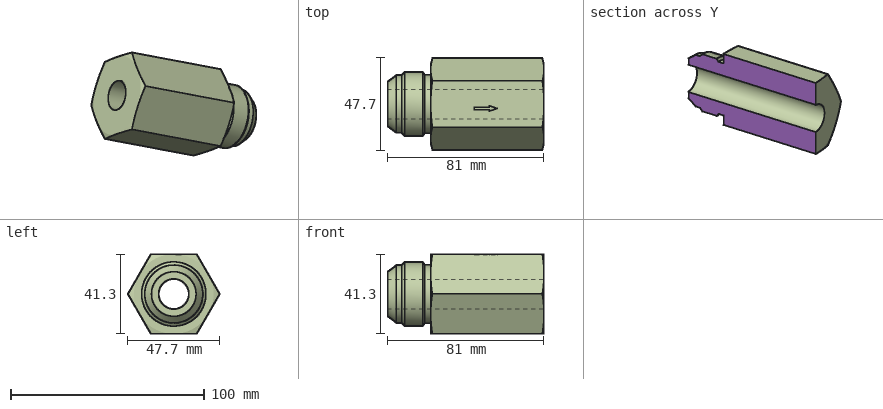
import cadquery as cq
import math

total_length = 80.98
hex_start = 22.35
hex_across_flats = 41.275
hex_across_corners = hex_across_flats / math.cos(math.radians(30))
hex_chamfer_angle = 15.0

nose_half_angle = 37.0
nose_face_diameter = 23.1
neck_diameter = 30.05
collar_diameter = 33.33
collar_lead_start = 7.25
collar_relief_start = 18.15
collar_relief_length = 1.0
undercut_diameter = 30.4

bore_diameter = 15.47

arrow_start = 45.0
arrow_shoulder = 52.7
arrow_tip = 56.7
arrow_center_y = -2.3
arrow_shaft_width = 1.35
arrow_head_width = 2.8
arrow_depth = 0.2


def revolve_about_axis(points):
    """Revolve a closed (axial, radial) outline about the X axis."""
    return cq.Workplane("XY").polyline(points).close().revolve(360, (0, 0, 0), (1, 0, 0))


def make_hex_body():
    """Hexagonal bar with flats at top and bottom and both ends turned conical."""
    length = total_length - hex_start
    bar = (
        cq.Workplane("YZ")
        .workplane(offset=hex_start)
        .polygon(6, hex_across_corners)
        .extrude(length)
    )
    flat_radius = hex_across_flats / 2
    corner_radius = hex_across_corners / 2
    chamfer_length = (corner_radius - flat_radius) * math.tan(math.radians(hex_chamfer_angle))
    turned_envelope = revolve_about_axis([
        (hex_start, 0),
        (hex_start, flat_radius),
        (hex_start + chamfer_length, corner_radius),
        (total_length - chamfer_length, corner_radius),
        (total_length, flat_radius),
        (total_length, 0),
    ])
    return bar.intersect(turned_envelope)


def make_nose():
    """Flared nose, chamfered collar and undercut in front of the hexagon."""
    face_radius = nose_face_diameter / 2
    neck_radius = neck_diameter / 2
    collar_radius = collar_diameter / 2
    undercut_radius = undercut_diameter / 2
    cone_length = (neck_radius - face_radius) / math.tan(math.radians(nose_half_angle))
    collar_lead_end = collar_lead_start + collar_radius - neck_radius
    collar_relief_end = collar_relief_start + collar_relief_length
    return revolve_about_axis([
        (0, 0),
        (0, face_radius),
        (cone_length, neck_radius),
        (collar_lead_start, neck_radius),
        (collar_lead_end, collar_radius),
        (collar_relief_start, collar_radius),
        (collar_relief_end, undercut_radius),
        (hex_start, undercut_radius),
        (hex_start, 0),
    ])


def make_bore():
    """Straight bore through the whole length."""
    return cq.Workplane("YZ").circle(bore_diameter / 2).extrude(total_length)


def make_arrow():
    """Arrow pointing toward +X, sunk into the top flat."""
    half_shaft = arrow_shaft_width / 2
    half_head = arrow_head_width / 2
    return (
        cq.Workplane("XY")
        .workplane(offset=hex_across_flats / 2)
        .center(0, arrow_center_y)
        .polyline([
            (arrow_start, -half_shaft),
            (arrow_shoulder, -half_shaft),
            (arrow_shoulder, -half_head),
            (arrow_tip, 0),
            (arrow_shoulder, half_head),
            (arrow_shoulder, half_shaft),
            (arrow_start, half_shaft),
        ])
        .close()
        .extrude(-arrow_depth)
    )


result = make_hex_body().union(make_nose()).cut(make_bore()).cut(make_arrow())